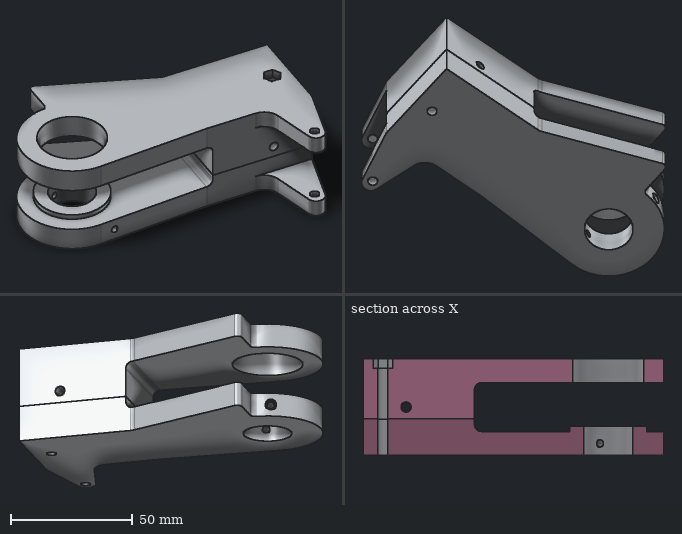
import cadquery as cq
import math

height = 40.0
plate_thickness = 10.0
split_z = 15.0

back_y = 101.0
half_width = 20.0
waist_y = 52.2
hub_radius = 23.0
heel_x = -39.9
heel_fillet = 2.0
waist_fillet = 5.0

lug_x = 43.0
lug_y = 90.9
lug_radius = 4.0
lug_hole_x = 41.9
lug_thickness = 7.6
lug_hole_diameter = 4.0
lug_fillet = 7.5

slot_end_y = 55.0
slot_fillet = 3.0

upper_bore_diameter = 29.0
lower_bore_diameter = 20.0
ring_diameter = 32.0
ring_height = 2.2

bolt_y = 92.9
bolt_diameter = 4.0
nut_across_flats = 6.8
nut_depth = 4.0

cross_y = 83.3
cross_z = height / 2
cross_diameter = 4.0

pin_angle = 20
pin_diameter = 3.0
pin_head_diameter = 4.5
pin_head_depth = 1.6

clearance = 1.2


def tangent_point(point, center, radius, side):
    """Touch point on a circle of a line from point; side +1 is counterclockwise of the center line."""
    dx = point[0] - center[0]
    dy = point[1] - center[1]
    angle = math.atan2(dy, dx) + side * math.acos(radius / math.hypot(dx, dy))
    return (center[0] + radius * math.cos(angle), center[1] + radius * math.sin(angle))


def profile():
    """Solid of the full outline over the whole height."""
    hub = (0, 0)
    lug = (lug_x, lug_y)
    lug_root = (half_width, back_y)
    right_waist = (half_width, waist_y)
    lug_upper = tangent_point(lug_root, lug, lug_radius, -1)
    lug_lower = (lug_upper[0], 2 * lug_y - lug_upper[1])
    edge_slope = (back_y - lug_upper[1]) / (lug_upper[0] - half_width)
    armpit_y = lug_lower[1] - edge_slope * (lug_lower[0] - half_width)
    hub_right = tangent_point(right_waist, hub, hub_radius, -1)

    body = (
        cq.Workplane("XY")
        .moveTo(-half_width, back_y)
        .lineTo(*lug_root)
        .lineTo(*lug_upper)
        .threePointArc((lug_x + lug_radius, lug_y), lug_lower)
        .lineTo(half_width, armpit_y)
        .lineTo(*right_waist)
        .lineTo(*hub_right)
        .threePointArc((0, -hub_radius), (-hub_radius, 0))
        .lineTo(heel_x, 0)
        .lineTo(-half_width, waist_y)
        .close()
        .extrude(height)
    )

    def round_corner(solid, x, y, radius):
        return solid.edges(cq.selectors.NearestToPointSelector((x, y, height / 2))).fillet(radius)

    body = round_corner(body, half_width, armpit_y, lug_fillet)
    body = round_corner(body, -half_width, waist_y, waist_fillet)
    body = round_corner(body, heel_x, 0, heel_fillet)
    return round_corner(body, -hub_radius, 0, heel_fillet)


def slot():
    """Opening between the plates, with rounded inner corners."""
    gap = height - 2 * plate_thickness
    length = slot_end_y + hub_radius + clearance
    width = 2 * (abs(heel_x) + clearance)
    return (
        cq.Workplane("XY")
        .box(width, length, gap)
        .edges(">Y and |X")
        .fillet(slot_fillet)
        .translate((0, slot_end_y - length / 2, height / 2))
    )


def lug_gap():
    """Space beside the block that leaves one thin lug at the top and one at the bottom."""
    length = lug_x + lug_radius + clearance - half_width
    return cq.Workplane("XY").box(
        length, back_y + clearance - slot_end_y, height - 2 * lug_thickness, centered=False
    ).translate((half_width, slot_end_y, lug_thickness))


def vertical_hole(x, y, diameter):
    return cq.Workplane("XY").center(x, y).circle(diameter / 2).extrude(height)


def nut_pocket():
    across_corners = nut_across_flats / math.cos(math.radians(30))
    return (
        cq.Workplane("XY")
        .polygon(6, across_corners)
        .extrude(nut_depth)
        .rotate((0, 0, 0), (0, 0, 1), 30)
        .translate((0, bolt_y, height - nut_depth))
    )


def cross_hole():
    return (
        cq.Workplane("YZ")
        .center(cross_y, cross_z)
        .circle(cross_diameter / 2)
        .extrude(half_width + clearance, both=True)
    )


def pin_hole():
    reach = hub_radius + clearance
    drill = cq.Workplane("YZ").circle(pin_diameter / 2).extrude(reach, both=True)
    counterbore = (
        cq.Workplane("YZ", origin=(-reach, 0, 0))
        .circle(pin_head_diameter / 2)
        .extrude(clearance + pin_head_depth)
    )
    return (
        drill.union(counterbore)
        .rotate((0, 0, 0), (0, 0, 1), pin_angle)
        .translate((0, 0, plate_thickness / 2))
    )


def bracket():
    """Features shared by both halves, before they are split."""
    return (
        profile()
        .cut(slot())
        .cut(lug_gap())
        .cut(vertical_hole(lug_hole_x, lug_y, lug_hole_diameter))
        .cut(vertical_hole(0, bolt_y, bolt_diameter))
        .cut(cross_hole())
    )


def layer(bottom, top):
    """Block covering the whole outline between two heights."""
    size = 3 * back_y
    return cq.Workplane("XY").box(size, size, top - bottom, centered=(True, True, False)).translate(
        (0, 0, bottom)
    )


def make_upper_half():
    return (
        bracket()
        .intersect(layer(split_z, height))
        .cut(vertical_hole(0, 0, upper_bore_diameter))
        .cut(nut_pocket())
    )


def make_lower_half():
    ring = cq.Workplane("XY").circle(ring_diameter / 2).extrude(plate_thickness + ring_height)
    return (
        bracket()
        .intersect(layer(0, split_z))
        .union(ring)
        .cut(vertical_hole(0, 0, lower_bore_diameter))
        .cut(pin_hole())
    )


upper_half = make_upper_half()
lower_half = make_lower_half()

result = cq.Compound.makeCompound([upper_half.val(), lower_half.val()])